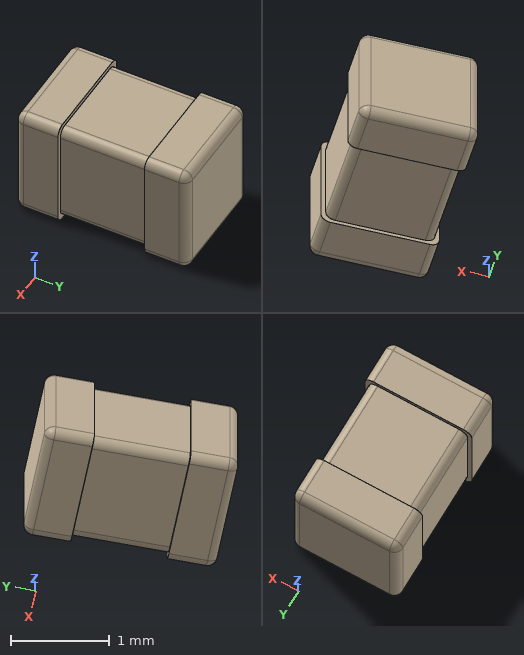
import cadquery as cq

TOTAL_LENGTH = 2.0
CAP_WIDTH = 1.25
CAP_HEIGHT = 1.3
CAP_LENGTH = 0.5
CAP_STEP = 0.05
EDGE_RADIUS = 0.1

BODY_LENGTH = TOTAL_LENGTH - 2 * CAP_LENGTH
BODY_WIDTH = CAP_WIDTH - 2 * CAP_STEP
BODY_HEIGHT = CAP_HEIGHT - 2 * CAP_STEP
CAP_CENTER_Y = (BODY_LENGTH + CAP_LENGTH) / 2
MID_HEIGHT = CAP_HEIGHT / 2


def make_ceramic_body():
    """Block between the caps, with its four lengthwise edges rounded."""
    block = cq.Workplane("XY").box(BODY_WIDTH, BODY_LENGTH, BODY_HEIGHT)
    return block.edges("|Y").fillet(EDGE_RADIUS).translate((0, 0, MID_HEIGHT))


def make_end_cap(side):
    """Cap at the -Y end (side = -1) or +Y end (side = 1), sharp only around its inner face."""
    outer_face = ">Y" if side > 0 else "<Y"
    block = cq.Workplane("XY").box(CAP_WIDTH, CAP_LENGTH, CAP_HEIGHT)
    rounded = block.edges(f"|Y or {outer_face}").fillet(EDGE_RADIUS)
    return rounded.translate((0, side * CAP_CENTER_Y, MID_HEIGHT))


ceramic_body = make_ceramic_body()
end_caps = [make_end_cap(side) for side in (-1, 1)]

result = cq.Compound.makeCompound([ceramic_body.val(), *[cap.val() for cap in end_caps]])